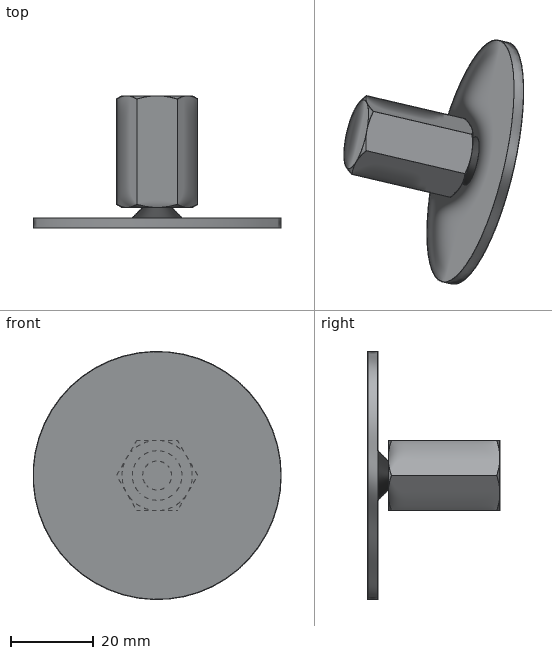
import cadquery as cq
import math

PLATE_DIAMETER = 60.0
PLATE_THICKNESS = 2.5
NECK_BASE_DIAMETER = 12.0
NECK_TIP_DIAMETER = 7.0
NECK_LENGTH = 2.5

OVERALL_LENGTH = 32.0
SLEEVE_START = PLATE_THICKNESS + NECK_LENGTH
SLEEVE_LENGTH = OVERALL_LENGTH - SLEEVE_START
ACROSS_FLATS = 17.0
ACROSS_CORNERS = ACROSS_FLATS / math.cos(math.pi / 6)
CORNER_CHAMFER_ANGLE = 30.0


def make_foot():
    """Plate and neck turned as one piece about the Y axis."""
    return (
        cq.Workplane("XY")
        .lineTo(PLATE_DIAMETER / 2, 0)
        .lineTo(PLATE_DIAMETER / 2, PLATE_THICKNESS)
        .lineTo(NECK_BASE_DIAMETER / 2, PLATE_THICKNESS)
        .lineTo(NECK_TIP_DIAMETER / 2, SLEEVE_START)
        .lineTo(0, SLEEVE_START)
        .close()
        .revolve(360, (0, 0, 0), (0, 1, 0))
    )


def make_sleeve():
    """Hexagon bar whose corners are turned down to a cone at both ends."""
    corner_radius = ACROSS_CORNERS / 2
    face_radius = ACROSS_FLATS / 2
    chamfer = (corner_radius - face_radius) * math.tan(math.radians(CORNER_CHAMFER_ANGLE))
    hexagon = (
        cq.Workplane("XZ", origin=(0, SLEEVE_START, 0))
        .polygon(6, ACROSS_CORNERS)
        .extrude(-SLEEVE_LENGTH)
    )
    turned_envelope = (
        cq.Workplane("XY")
        .moveTo(0, SLEEVE_START)
        .lineTo(face_radius, SLEEVE_START)
        .lineTo(corner_radius, SLEEVE_START + chamfer)
        .lineTo(corner_radius, OVERALL_LENGTH - chamfer)
        .lineTo(face_radius, OVERALL_LENGTH)
        .lineTo(0, OVERALL_LENGTH)
        .close()
        .revolve(360, (0, 0, 0), (0, 1, 0))
    )
    return hexagon.intersect(turned_envelope)


foot = make_foot()
sleeve = make_sleeve()

result = cq.Compound.makeCompound([foot.val(), sleeve.val()])